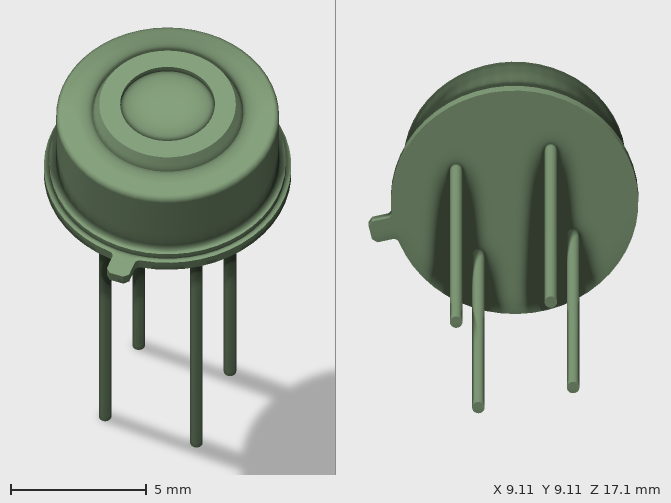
import cadquery as cq
import math

TOTAL_HEIGHT = 17.1
HOUSING_HEIGHT = 4.07
FLANGE_THICKNESS = 0.41
RING_HEIGHT = 0.25
DOME_HEIGHT = 0.5

FLANGE_DIAMETER = 9.11
RING_DIAMETER = 8.72
CAP_DIAMETER = 8.2
DOME_BASE_DIAMETER = 5.57
DOME_TOP_DIAMETER = 5.03
CAP_FILLET = 0.2

WINDOW_DIAMETER = 3.49
WINDOW_DEPTH = 0.25

TAB_ANGLE = -45.0
TAB_REACH = 5.45
TAB_WIDTH = 0.87
TAB_CHAMFER = 0.17
TAB_ROOT_FILLET = 0.2

PIN_COUNT = 4
PIN_DIAMETER = 0.46
PIN_CIRCLE_RADIUS = 2.53

flange_bottom = TOTAL_HEIGHT - HOUSING_HEIGHT
flange_top = flange_bottom + FLANGE_THICKNESS
ring_top = flange_top + RING_HEIGHT
cap_top = TOTAL_HEIGHT - DOME_HEIGHT


def make_flange():
    """Round base plate with a chamfered index tab blended into its rim."""
    plate = cq.Workplane("XY").circle(FLANGE_DIAMETER / 2).extrude(FLANGE_THICKNESS)
    tab = (
        cq.Workplane("XY")
        .rect(TAB_REACH, TAB_WIDTH)
        .extrude(FLANGE_THICKNESS)
        .translate((TAB_REACH / 2, 0, 0))
        .edges("|Z and >X")
        .chamfer(TAB_CHAMFER)
    )
    half_width = TAB_WIDTH / 2
    root_x = math.sqrt((FLANGE_DIAMETER / 2) ** 2 - half_width**2)
    flange = plate.union(tab)
    for root_y in (-half_width, half_width):
        root = cq.selectors.NearestToPointSelector((root_x, root_y, FLANGE_THICKNESS / 2))
        flange = flange.edges("|Z").edges(root).fillet(TAB_ROOT_FILLET)
    return flange.rotate((0, 0, 0), (0, 0, 1), TAB_ANGLE).translate((0, 0, flange_bottom))


def make_cap():
    """Revolved ring, cap wall and conical dome."""
    cap_radius = CAP_DIAMETER / 2
    arc_offset = CAP_FILLET * math.sqrt(0.5)
    foot_center = (cap_radius + CAP_FILLET, ring_top + CAP_FILLET)
    shoulder_center = (cap_radius - CAP_FILLET, cap_top - CAP_FILLET)
    return (
        cq.Workplane("XZ")
        .moveTo(0, flange_top)
        .lineTo(RING_DIAMETER / 2, flange_top)
        .lineTo(RING_DIAMETER / 2, ring_top)
        .lineTo(foot_center[0], ring_top)
        .threePointArc(
            (foot_center[0] - arc_offset, foot_center[1] - arc_offset),
            (cap_radius, foot_center[1]),
        )
        .lineTo(cap_radius, shoulder_center[1])
        .threePointArc(
            (shoulder_center[0] + arc_offset, shoulder_center[1] + arc_offset),
            (shoulder_center[0], cap_top),
        )
        .lineTo(DOME_BASE_DIAMETER / 2, cap_top)
        .lineTo(DOME_TOP_DIAMETER / 2, TOTAL_HEIGHT)
        .lineTo(0, TOTAL_HEIGHT)
        .close()
        .revolve(360, (0, 0, 0), (0, 1, 0))
    )


def make_window_cut():
    """Shallow round recess that opens at the top of the dome."""
    return (
        cq.Workplane("XY")
        .workplane(offset=TOTAL_HEIGHT - WINDOW_DEPTH)
        .circle(WINDOW_DIAMETER / 2)
        .extrude(WINDOW_DEPTH)
    )


def make_housing():
    return make_flange().union(make_cap()).cut(make_window_cut())


def make_pin(angle):
    """Straight round pin that ends against the underside of the flange."""
    x = PIN_CIRCLE_RADIUS * math.cos(angle)
    y = PIN_CIRCLE_RADIUS * math.sin(angle)
    return cq.Workplane("XY").center(x, y).circle(PIN_DIAMETER / 2).extrude(flange_bottom)


housing = make_housing()
pins = [make_pin(2 * math.pi * index / PIN_COUNT) for index in range(PIN_COUNT)]

result = cq.Compound.makeCompound([housing.solids().val(), *[pin.val() for pin in pins]])